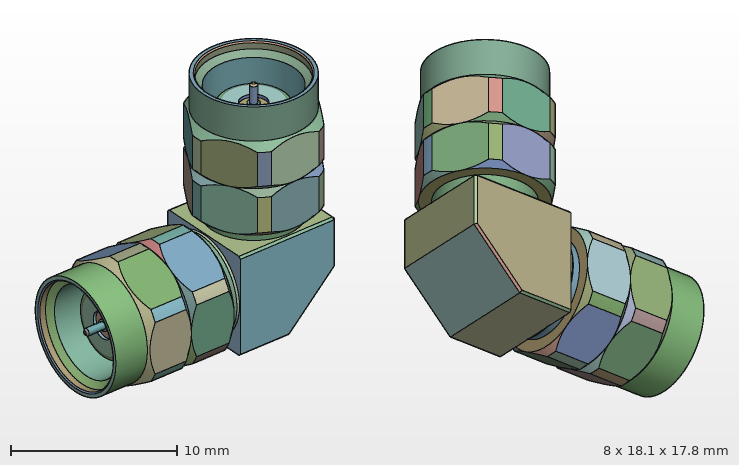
import cadquery as cq


TOP_REACH = 13.4
FRONT_REACH = 13.7

BODY_HALF = 3.51
BODY_FRONT = 3.82
BODY_EDGE_CHAMFER = 0.15

COLLAR_RADIUS = 3.42
COLLAR_STRAIGHT = 0.2

NECK_RADIUS = 3.22
NUT_FLATS = 8.0
NUT_CORNER_RADIUS = 4.4
NUT_LENGTH = 3.3
NUT_COUNT = 2
NUT_CHAMFER = 0.4
SLEEVE_RADIUS = 3.9
SLEEVE_LENGTH = 2.43

MOUTH_RADIUS = 3.64
MOUTH_CHAMFER = 0.09
TAPER_START_DEPTH = 0.52
TAPER_END_DEPTH = 0.85
BORE_RADIUS = 3.1
BORE_DEPTH = 3.98

PLUG_RADIUS = 2.37
PLUG_FILLET = 0.33
PLUG_DEPTH = 2.1
RECESS_RADIUS = 0.92
RECESS_DEPTH = 0.22
PIN_BASE_RADIUS = 0.4
PIN_RADIUS = 0.25
PIN_TIP_DEPTH = 0.72
PIN_TIP_CHAMFER = 0.13


def turned(profile):
    """Revolve (radius, height) points around the Z axis."""
    return cq.Workplane("XZ").polyline(profile).close().revolve(360, (0, 0, 0), (0, 1, 0))


def cylinder(radius, bottom, top):
    return cq.Workplane("XY").workplane(offset=bottom).circle(radius).extrude(top - bottom)


def hex_section(bottom, top_end_radius):
    """One hexagonal nut section with rounded corners and 45 degree end chamfers."""
    top = bottom + NUT_LENGTH
    bottom_end_radius = NUT_CORNER_RADIUS - NUT_CHAMFER
    top_chamfer = NUT_CORNER_RADIUS - top_end_radius
    blank = turned([
        (0, bottom),
        (bottom_end_radius, bottom),
        (NUT_CORNER_RADIUS, bottom + NUT_CHAMFER),
        (NUT_CORNER_RADIUS, top - top_chamfer),
        (top_end_radius, top),
        (0, top),
    ])
    prism = (
        cq.Workplane("XY").workplane(offset=bottom)
        .polygon(6, NUT_FLATS, circumscribed=True)
        .extrude(NUT_LENGTH)
    )
    return blank.intersect(prism)


def socket(tip):
    """Stepped opening cut into the sleeve."""
    throat_radius = MOUTH_RADIUS - MOUTH_CHAMFER
    return turned([
        (0, tip),
        (MOUTH_RADIUS, tip),
        (throat_radius, tip - MOUTH_CHAMFER),
        (throat_radius, tip - TAPER_START_DEPTH),
        (BORE_RADIUS, tip - TAPER_END_DEPTH),
        (BORE_RADIUS, tip - BORE_DEPTH),
        (0, tip - BORE_DEPTH),
    ])


def plug_and_pin(tip):
    """Rounded plug on the socket floor with a recessed centre pin."""
    floor = tip - BORE_DEPTH
    face = tip - PLUG_DEPTH
    recess_floor = face - RECESS_DEPTH
    plug = cylinder(PLUG_RADIUS, floor, face).faces(">Z").edges().fillet(PLUG_FILLET)
    recess = cylinder(RECESS_RADIUS, recess_floor, face)
    pin_base = cylinder(PIN_BASE_RADIUS, recess_floor, face)
    pin = cylinder(PIN_RADIUS, recess_floor, tip - PIN_TIP_DEPTH)
    pin = pin.faces(">Z").edges().chamfer(PIN_TIP_CHAMFER)
    return plug.cut(recess).union(pin_base).union(pin)


def connector(tip):
    """Connector along +Z, from the origin to its open end."""
    sleeve_bottom = tip - SLEEVE_LENGTH
    nut_bottom = sleeve_bottom - NUT_COUNT * NUT_LENGTH
    shell = cylinder(NECK_RADIUS, 0, nut_bottom).union(cylinder(SLEEVE_RADIUS, sleeve_bottom, tip))
    for index in range(NUT_COUNT):
        is_last = index == NUT_COUNT - 1
        top_end_radius = SLEEVE_RADIUS if is_last else NUT_CORNER_RADIUS - NUT_CHAMFER
        shell = shell.union(hex_section(nut_bottom + index * NUT_LENGTH, top_end_radius))
    return shell.cut(socket(tip)).union(plug_and_pin(tip))


def body_block():
    """Square block with its lower rear corner cut off at 45 degrees."""
    block = (
        cq.Workplane("YZ").workplane(offset=-BODY_HALF)
        .polyline([
            (-BODY_FRONT, -BODY_HALF),
            (0, -BODY_HALF),
            (BODY_HALF, 0),
            (BODY_HALF, BODY_HALF),
            (-BODY_FRONT, BODY_HALF),
        ])
        .close()
        .extrude(2 * BODY_HALF)
    )
    behind_front = -BODY_FRONT + BODY_EDGE_CHAMFER
    side_edges = block.faces("<X or >X").edges().filter(lambda edge: edge.Center().y > behind_front)
    top_rear_edge = block.faces(">Z").edges(">Y")
    return side_edges.add(top_rear_edge).chamfer(BODY_EDGE_CHAMFER)


def front_collar():
    """Chamfered collar between the block and the neck, built along +Z."""
    shoulder = BODY_FRONT + COLLAR_STRAIGHT
    return turned([
        (0, 0),
        (COLLAR_RADIUS, 0),
        (COLLAR_RADIUS, shoulder),
        (NECK_RADIUS, shoulder + COLLAR_RADIUS - NECK_RADIUS),
        (0, shoulder + COLLAR_RADIUS - NECK_RADIUS),
    ])


def turn_to_front(shape):
    """Swing a shape built along +Z so that it points along -Y."""
    return shape.rotate((0, 0, 0), (1, 0, 0), 90)


result = (
    body_block()
    .union(connector(TOP_REACH))
    .union(turn_to_front(front_collar()))
    .union(turn_to_front(connector(FRONT_REACH)))
)